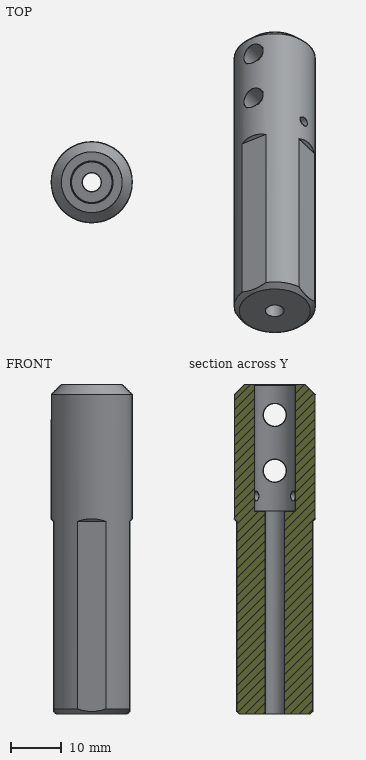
import cadquery as cq

length = 65.0
diameter = 16.0
radius = diameter / 2
top_chamfer = 2.0
bottom_chamfer = 1.0

bore_diameter = 8.0
bore_depth = 25.0
bore_mouth_diameter = 8.4
bore_mouth_chamfer = (bore_mouth_diameter - bore_diameter) / 2
through_diameter = 3.7

across_flats = 15.0
flat_offset = across_flats / 2
flat_length = 38.0
flat_count = 4

screw_hole_diameter = 4.5
screw_hole_depths = (6.0, 17.0)

pin_diameter = 2.0
pin_offset_y = 1.5
pin_depth = 22.0

clearance = 1.0


def make_body():
    bar = cq.Workplane("XY").circle(radius).extrude(length)
    bar = bar.faces(">Z").chamfer(top_chamfer)
    return bar.faces("<Z").chamfer(bottom_chamfer)


def make_bore():
    """Blind bore from the top, its mouth bevel, and the narrow hole right through."""
    bore = (
        cq.Workplane("XY", origin=(0, 0, length - bore_depth))
        .circle(bore_diameter / 2)
        .extrude(bore_depth)
    )
    mouth = (
        cq.Workplane("XY", origin=(0, 0, length))
        .circle(bore_mouth_diameter / 2)
        .extrude(-bore_mouth_chamfer, taper=45)
    )
    through = cq.Workplane("XY").circle(through_diameter / 2).extrude(length)
    return bore.union(mouth).union(through)


def make_flat_cutter():
    """Cutter for the flat on the +X side; its upper end slopes outward at 45 degrees."""
    outer = radius + clearance
    return (
        cq.Workplane("XZ")
        .moveTo(flat_offset, -clearance)
        .lineTo(outer, -clearance)
        .lineTo(outer, flat_length + outer - flat_offset)
        .lineTo(flat_offset, flat_length)
        .close()
        .extrude(radius, both=True)
    )


def make_screw_hole(depth):
    """Radial hole from the axis out through the +Y wall."""
    return (
        cq.Workplane("XZ", origin=(0, 0, length - depth))
        .circle(screw_hole_diameter / 2)
        .extrude(-(radius + clearance))
    )


def make_pin_hole():
    return (
        cq.Workplane("YZ", origin=(0, pin_offset_y, length - pin_depth))
        .circle(pin_diameter / 2)
        .extrude(radius + clearance, both=True)
    )


result = make_body().cut(make_bore())

for index in range(flat_count):
    angle = index * 360 / flat_count
    result = result.cut(make_flat_cutter().rotate((0, 0, 0), (0, 0, 1), angle))

for depth in screw_hole_depths:
    result = result.cut(make_screw_hole(depth))

result = result.cut(make_pin_hole())